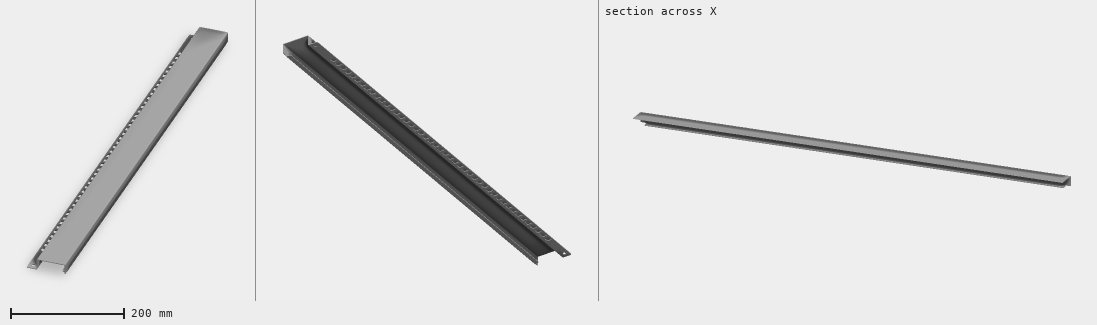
import cadquery as cq

length = 825.0
width = 72.5
height = 21.5
sheet = 1.3
inner_bend_radius = 1.0
free_corner_radius = 2.5
flange_width = 20.0
lip_width = 10.0
lip_setback = 10.0

slot_size = 9.0
slot_count = 45
slot_span = 695.0
slot_line_inset = 7.8

hole_diameter = 6.0
hole_line_inset = 9.0
hole_end_inset = 10.0

left = -width / 2
right = width / 2
half_length = length / 2
outer_bend_radius = inner_bend_radius + sheet
web_right = left + flange_width
web_left = web_right - sheet
wall_left = right - sheet
cover_underside = height - sheet
lip_left = right - lip_width


def fillet_edge_nearest(rail, point, radius):
    """Fillet the single edge whose centre is nearest to the point."""
    return rail.edges(cq.selectors.NearestToPointSelector(point)).fillet(radius)


def make_rail():
    """Extrude the open section and round both sides of every bend."""
    outline = [
        (left, 0),
        (web_right, 0),
        (web_right, cover_underside),
        (wall_left, cover_underside),
        (wall_left, sheet),
        (lip_left, sheet),
        (lip_left, 0),
        (right, 0),
        (right, height),
        (web_left, height),
        (web_left, sheet),
        (left, sheet),
    ]
    section = cq.Workplane("XZ", origin=(0, half_length, 0)).polyline(outline).close()
    rail = section.extrude(length)
    outer_corners = [(web_right, 0), (web_left, height), (right, height), (right, 0)]
    inner_corners = [
        (web_left, sheet),
        (web_right, cover_underside),
        (wall_left, cover_underside),
        (wall_left, sheet),
    ]
    for x, z in outer_corners:
        rail = fillet_edge_nearest(rail, (x, 0, z), outer_bend_radius)
    for x, z in inner_corners:
        rail = fillet_edge_nearest(rail, (x, 0, z), inner_bend_radius)
    return rail


def trim_lip(rail):
    """Remove the lip and its bend near both rail ends."""
    end_distance = length - lip_setback
    cutters = (
        cq.Workplane("XY", origin=(right - lip_width / 2, 0, 0))
        .rarray(8, end_distance, 1, 2)
        .rect(lip_width, lip_setback)
        .extrude(outer_bend_radius)
    )
    return rail.cut(cutters)


def round_free_corners(rail):
    """Round the end corners along the free edges of the flange and the lip."""
    free_edges = [(left, half_length), (lip_left, half_length - lip_setback)]
    for x, end in free_edges:
        for y in (-end, end):
            rail = fillet_edge_nearest(rail, (x, y, sheet / 2), free_corner_radius)
    return rail


def cut_slots(rail):
    """Cut the row of square perforations through the flange."""
    pitch = slot_span / (slot_count - 1)
    cutters = (
        cq.Workplane("XY", origin=(left + slot_line_inset, 0, 0))
        .rarray(8, pitch, 1, slot_count)
        .rect(slot_size, slot_size)
        .extrude(sheet)
    )
    return rail.cut(cutters)


def cut_end_holes(rail):
    """Cut one round mounting hole near each end of the flange."""
    hole_spacing = length - 2 * hole_end_inset
    cutters = (
        cq.Workplane("XY", origin=(left + hole_line_inset, 0, 0))
        .rarray(8, hole_spacing, 1, 2)
        .circle(hole_diameter / 2)
        .extrude(sheet)
    )
    return rail.cut(cutters)


result = make_rail()
result = trim_lip(result)
result = round_free_corners(result)
result = cut_slots(result)
result = cut_end_holes(result)